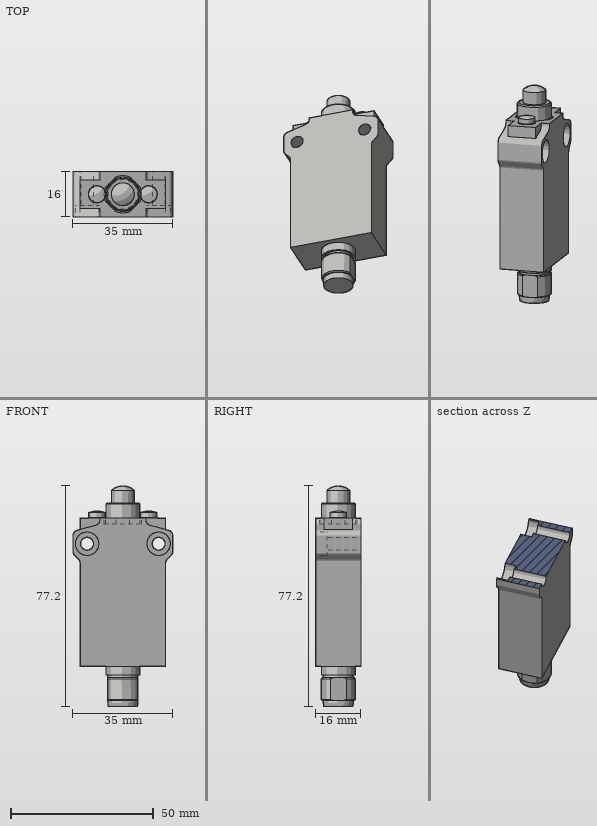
import cadquery as cq
import math

TOTAL_HEIGHT = 77.2
HOUSING_BOTTOM = 14.05
HOUSING_TOP = 65.9

HOUSING_WIDTH = 29.95
HOUSING_DEPTH = 16.0
LUG_WIDTH = 35.0
LUG_SIDE_TOP = 61.3
LUG_SIDE_BOTTOM = 53.5
LUG_SLOPE_ANGLE = 15.0
SHOULDER_WIDTH = 16.05
OUTLINE_RADIUS = 2.0
TONGUE_DEPTH = 10.0

MOUNT_SPACING = 25.0
MOUNT_HEIGHT = 57.0
MOUNT_DIAMETER = 4.4
COUNTERBORE_DIAMETER = 8.2
COUNTERBORE_DEPTH = 4.0

SCREW_SPACING = 18.1
SCREW_FOOT_DIAMETER = 6.0
SCREW_FOOT_HEIGHT = 0.2
SCREW_HEAD_DIAMETER = 5.9
SCREW_HEAD_HEIGHT = 1.9
SCREW_DOME_HEIGHT = 0.55

BASE_SQUARE = 12.0
BASE_CORNER_DIAMETER = 13.05
BASE_THICKNESS = 2.0
COLLAR_DIAMETER = 12.0
COLLAR_TOP = 71.25
COLLAR_CHAMFER = 0.5
PLUNGER_DIAMETER = 8.0
PLUNGER_DOME_HEIGHT = 1.55

CONNECTOR_DIAMETER = 12.0
CONNECTOR_COLLAR_BOTTOM = 11.05
NECK_DIAMETER = 10.6
GRIP_TOP = 10.1
GRIP_BOTTOM = 2.2
GRIP_CHAMFER = 0.4
GRIP_FLAT_WIDTH = 10.6
TIP_DIAMETER = 10.3
TIP_TAPER_START = 1.15


def cylinder(diameter, bottom, top, x=0.0):
    return cq.Workplane("XY", origin=(x, 0, bottom)).circle(diameter / 2).extrude(top - bottom)


def dome(diameter, height, bottom, x=0.0):
    """Spherical cap standing on a circle of the given diameter."""
    radius = diameter / 2
    sphere_radius = (radius**2 + height**2) / (2 * height)
    half_angle = math.asin(radius / sphere_radius) / 2
    middle = (
        sphere_radius * math.sin(half_angle),
        height - sphere_radius * (1 - math.cos(half_angle)),
    )
    profile = (
        cq.Workplane("XZ", origin=(x, 0, bottom))
        .lineTo(radius, 0)
        .threePointArc(middle, (0, height))
        .close()
    )
    return profile.revolve(360, (0, 0, 0), (0, 1, 0))


def square_base():
    """Square with rounded corners pointing along X and Y."""
    bottom = HOUSING_TOP - BASE_THICKNESS
    square = (
        cq.Workplane("XY", origin=(0, 0, bottom))
        .transformed(rotate=(0, 0, 45))
        .rect(BASE_SQUARE, BASE_SQUARE)
        .extrude(BASE_THICKNESS)
    )
    return square.intersect(cylinder(BASE_CORNER_DIAMETER, bottom, HOUSING_TOP))


def housing_block():
    """Full-depth block with the mounting lugs and sloping shoulders."""
    half_body = HOUSING_WIDTH / 2
    half_lug = LUG_WIDTH / 2
    half_shoulder = SHOULDER_WIDTH / 2
    slope_rise = (half_lug - half_shoulder) * math.tan(math.radians(LUG_SLOPE_ANGLE))
    lug_root = LUG_SIDE_BOTTOM - (half_lug - half_body)
    shoulder_root = LUG_SIDE_TOP + slope_rise

    right_side = [
        (half_body, HOUSING_BOTTOM),
        (half_body, lug_root),
        (half_lug, LUG_SIDE_BOTTOM),
        (half_lug, LUG_SIDE_TOP),
        (half_shoulder, shoulder_root),
        (half_shoulder, HOUSING_TOP),
    ]
    left_side = [(-x, z) for x, z in reversed(right_side)]
    block = (
        cq.Workplane("XZ")
        .polyline(right_side + left_side)
        .close()
        .extrude(HOUSING_DEPTH / 2, both=True)
    )
    margin = 0.1
    rounded_zone = cq.selectors.BoxSelector(
        (-LUG_WIDTH, -HOUSING_DEPTH, HOUSING_BOTTOM + margin),
        (LUG_WIDTH, HOUSING_DEPTH, HOUSING_TOP - margin),
    )
    return block.edges("|Y").edges(rounded_zone).fillet(OUTLINE_RADIUS)


def tongue():
    height = HOUSING_TOP - MOUNT_HEIGHT
    return cq.Workplane("XY", origin=(0, 0, MOUNT_HEIGHT)).rect(HOUSING_WIDTH, TONGUE_DEPTH).extrude(height)


def screw_head(x):
    foot_top = HOUSING_TOP + SCREW_FOOT_HEIGHT
    head_top = HOUSING_TOP + SCREW_HEAD_HEIGHT
    foot = cylinder(SCREW_FOOT_DIAMETER, HOUSING_TOP, foot_top, x)
    head = cylinder(SCREW_HEAD_DIAMETER, foot_top, head_top, x)
    return foot.union(head).union(dome(SCREW_HEAD_DIAMETER, SCREW_DOME_HEIGHT, head_top, x))


def make_housing():
    body = housing_block().union(tongue())
    body = (
        body.cut(square_base())
        .copyWorkplane(cq.Workplane("XZ", origin=(0, -HOUSING_DEPTH / 2, MOUNT_HEIGHT)))
        .pushPoints([(-MOUNT_SPACING / 2, 0), (MOUNT_SPACING / 2, 0)])
        .cboreHole(MOUNT_DIAMETER, COUNTERBORE_DIAMETER, COUNTERBORE_DEPTH)
    )
    for side in (-1, 1):
        body = body.union(screw_head(side * SCREW_SPACING / 2))
    return body


def make_plunger_head():
    collar = cylinder(COLLAR_DIAMETER, HOUSING_TOP, COLLAR_TOP).faces(">Z").chamfer(COLLAR_CHAMFER)
    dome_bottom = TOTAL_HEIGHT - PLUNGER_DOME_HEIGHT
    plunger = cylinder(PLUNGER_DIAMETER, COLLAR_TOP, dome_bottom)
    tip = dome(PLUNGER_DIAMETER, PLUNGER_DOME_HEIGHT, dome_bottom)
    return square_base().union(collar).union(plunger).union(tip)


def make_connector():
    collar = cylinder(CONNECTOR_DIAMETER, CONNECTOR_COLLAR_BOTTOM, HOUSING_BOTTOM)
    taper = (NECK_DIAMETER - TIP_DIAMETER) / 2
    neck = (
        cylinder(NECK_DIAMETER, 0, CONNECTOR_COLLAR_BOTTOM)
        .faces("<Z")
        .chamfer(TIP_TAPER_START, taper)
    )
    grip = cylinder(CONNECTOR_DIAMETER, GRIP_BOTTOM, GRIP_TOP).edges("%CIRCLE").chamfer(GRIP_CHAMFER)
    flats = cq.Workplane("XY").rect(GRIP_FLAT_WIDTH, CONNECTOR_DIAMETER).extrude(HOUSING_BOTTOM)
    return collar.union(neck).union(grip.intersect(flats))


housing = make_housing()
plunger_head = make_plunger_head()
connector = make_connector()

result = cq.Compound.makeCompound([
    housing.solids().val(),
    plunger_head.solids().val(),
    connector.solids().val(),
])